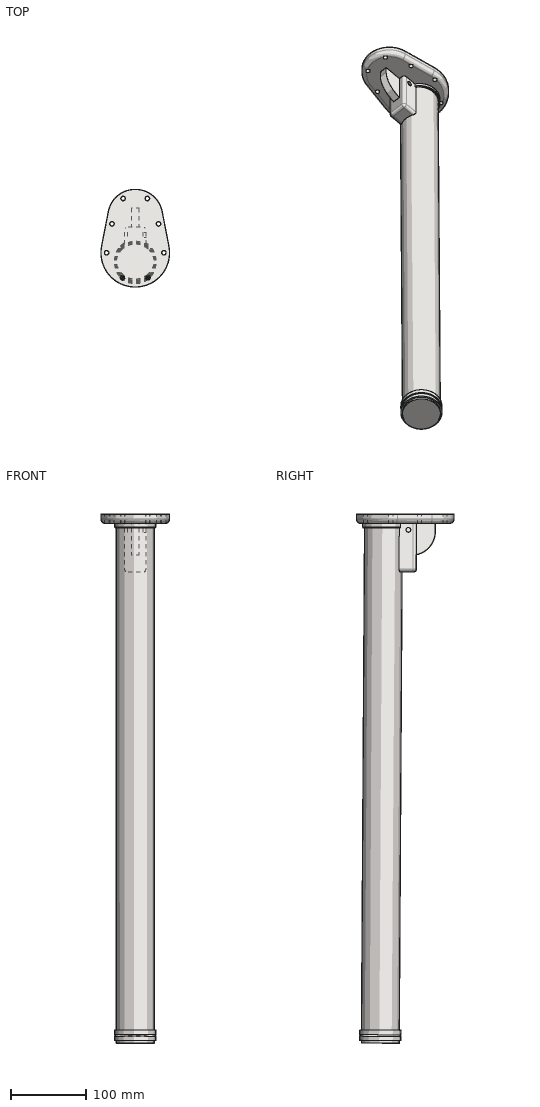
import cadquery as cq
import math

PLATE_LENGTH = 130.0
WIDE_RADIUS = 46.0
NARROW_RADIUS = 36.5
PLATE_THICKNESS = 13.0
UNDERSIDE_RADIUS = 6.0
WIDE_Y = WIDE_RADIUS - PLATE_LENGTH / 2
NARROW_Y = PLATE_LENGTH / 2 - NARROW_RADIUS

HOLE_DIAMETER = 5.5
SCREW_HOLES = [(16.0, 53.0), (31.0, 19.0), (38.0, WIDE_Y), (17.0, -53.0)]

TOTAL_HEIGHT = 704.5
LEG_RADIUS = 25.5
LEG_Y = -29.0
LEAN_ANGLE = 0.35
COLLAR_Y = -29.5
COLLAR_RADIUS = 27.5
COLLAR_HEIGHT = 5.5
COLLAR_CHAMFER = 1.05

GROOVE_RADIUS = 26.0
FOOT_HEIGHT = 17.5
RING_BOTTOM = 11.0
CAP_TOP = 9.0
TIP_HEIGHT = 3.5

BRACKET_WIDTH = 28.0
BRACKET_BACK_Y = 15.0
BRACKET_DEPTH = 77.5
BRACKET_EDGE = 4.0
RIB_WIDTH = 10.5
RIB_RADIUS = 32.0
RIB_BACK_Y = 40.0
RIB_DROP = 55.0
PIN_DIAMETER = 6.0
PIN_Y = 4.0
PIN_DROP = 21.0
PIN_HOLE_DEPTH = 3.5


def make_plate():
    side_slope = math.asin((WIDE_RADIUS - NARROW_RADIUS) / (NARROW_Y - WIDE_Y))
    across = math.cos(side_slope)
    along = math.sin(side_slope)
    wide_x = WIDE_RADIUS * across
    wide_y = WIDE_Y + WIDE_RADIUS * along
    narrow_x = NARROW_RADIUS * across
    narrow_y = NARROW_Y + NARROW_RADIUS * along
    plate = (
        cq.Workplane("XY")
        .moveTo(wide_x, wide_y)
        .lineTo(narrow_x, narrow_y)
        .threePointArc((0, NARROW_Y + NARROW_RADIUS), (-narrow_x, narrow_y))
        .lineTo(-wide_x, wide_y)
        .threePointArc((0, WIDE_Y - WIDE_RADIUS), (wide_x, wide_y))
        .close()
        .extrude(-PLATE_THICKNESS)
    )
    return plate.faces("<Z").edges().fillet(UNDERSIDE_RADIUS)


def make_leg():
    foot_tilt = LEG_RADIUS * math.sin(math.radians(LEAN_ANGLE))
    leg_length = (TOTAL_HEIGHT - foot_tilt) / math.cos(math.radians(LEAN_ANGLE))
    upright_leg = (
        cq.Workplane("XZ")
        .lineTo(LEG_RADIUS, 0)
        .lineTo(LEG_RADIUS, FOOT_HEIGHT - leg_length)
        .lineTo(COLLAR_RADIUS, FOOT_HEIGHT - leg_length)
        .lineTo(COLLAR_RADIUS, RING_BOTTOM - leg_length)
        .lineTo(GROOVE_RADIUS, RING_BOTTOM - leg_length)
        .lineTo(COLLAR_RADIUS, CAP_TOP - leg_length)
        .lineTo(COLLAR_RADIUS, TIP_HEIGHT - leg_length)
        .lineTo(LEG_RADIUS, TIP_HEIGHT - leg_length)
        .lineTo(LEG_RADIUS, -leg_length)
        .lineTo(0, -leg_length)
        .close()
        .revolve(360, (0, 0, 0), (0, 1, 0))
    )
    leg = upright_leg.rotate((0, 0, 0), (1, 0, 0), -LEAN_ANGLE).translate((0, LEG_Y, 0))
    space_above_plate = cq.Workplane("XY").box(
        PLATE_LENGTH * 2, PLATE_LENGTH * 2, PLATE_THICKNESS, centered=(True, True, False)
    )
    return leg.cut(space_above_plate)


def make_collar():
    return (
        cq.Workplane("XY")
        .center(0, COLLAR_Y)
        .circle(COLLAR_RADIUS)
        .extrude(-PLATE_THICKNESS - COLLAR_HEIGHT)
        .faces("<Z")
        .chamfer(COLLAR_CHAMFER)
    )


def make_bracket():
    length = BRACKET_BACK_Y - LEG_Y
    return (
        cq.Workplane("XY")
        .box(BRACKET_WIDTH, length, BRACKET_DEPTH, centered=(True, False, False))
        .translate((0, LEG_Y, -BRACKET_DEPTH))
        .edges("|Z and >Y or (<Z and (not <Y))")
        .fillet(BRACKET_EDGE)
    )


def make_rib():
    inner_y = RIB_BACK_Y - RIB_RADIUS
    arc_top = -RIB_DROP + RIB_RADIUS
    diagonal = RIB_RADIUS * math.sqrt(0.5)
    return (
        cq.Workplane("YZ")
        .moveTo(inner_y, 0)
        .lineTo(RIB_BACK_Y, 0)
        .lineTo(RIB_BACK_Y, arc_top)
        .threePointArc((inner_y + diagonal, arc_top - diagonal), (inner_y, -RIB_DROP))
        .close()
        .extrude(RIB_WIDTH / 2, both=True)
    )


def screw_holes(points):
    mirrored = [(side * x, y) for x, y in points for side in (-1, 1)]
    return cq.Workplane("XY").pushPoints(mirrored).circle(HOLE_DIAMETER / 2).extrude(-PLATE_THICKNESS)


def pin_holes():
    """Blind holes sunk into both flanks of the bracket."""
    hole = (
        cq.Workplane("YZ", origin=(BRACKET_WIDTH / 2 - PIN_HOLE_DEPTH, 0, 0))
        .center(PIN_Y, -PIN_DROP)
        .circle(PIN_DIAMETER / 2)
        .extrude(PIN_HOLE_DEPTH)
    )
    return hole.union(hole.mirror("YZ"))


result = (
    make_plate()
    .union(make_collar())
    .union(make_leg())
    .union(make_bracket())
    .union(make_rib())
    .cut(pin_holes())
    .cut(screw_holes(SCREW_HOLES))
)